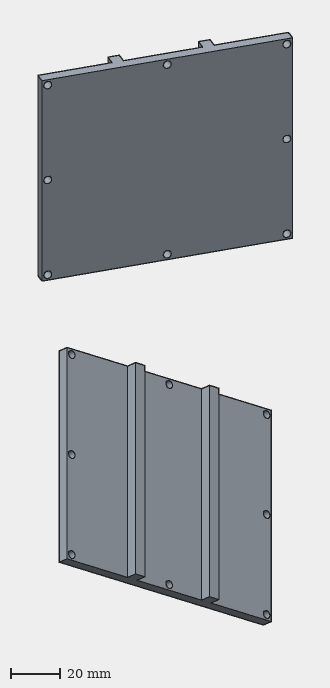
import cadquery as cq

plate_width = 108.0
plate_height = 92.0
total_depth = 10.0
plate_thickness = total_depth / 2

rib_depth = total_depth - plate_thickness
rib_width = 5.0
rib_spacing = 39.1

hole_diameter = 3.3
hole_inset = 2.5


def make_plate():
    """Flat plate whose -X face lies on the plane X = 0."""
    return cq.Workplane("XY").box(
        plate_thickness, plate_width, plate_height, centered=(False, True, True)
    )


def make_rib(y_center):
    """Full-height rib that stands on the -X face of the plate."""
    rib = cq.Workplane("XY").box(rib_depth, rib_width, plate_height)
    return rib.translate((-rib_depth / 2, y_center, 0))


def make_holes():
    """Through-hole cutters at the corners and the middle of each side."""
    y_edge = plate_width / 2 - hole_inset
    z_edge = plate_height / 2 - hole_inset
    centers = [
        (y, z)
        for y in (-y_edge, 0, y_edge)
        for z in (-z_edge, 0, z_edge)
        if (y, z) != (0, 0)
    ]
    return cq.Workplane("YZ").pushPoints(centers).circle(hole_diameter / 2).extrude(plate_thickness)


body = make_plate()
for side in (-1, 1):
    body = body.union(make_rib(side * rib_spacing / 2))

result = body.cut(make_holes())